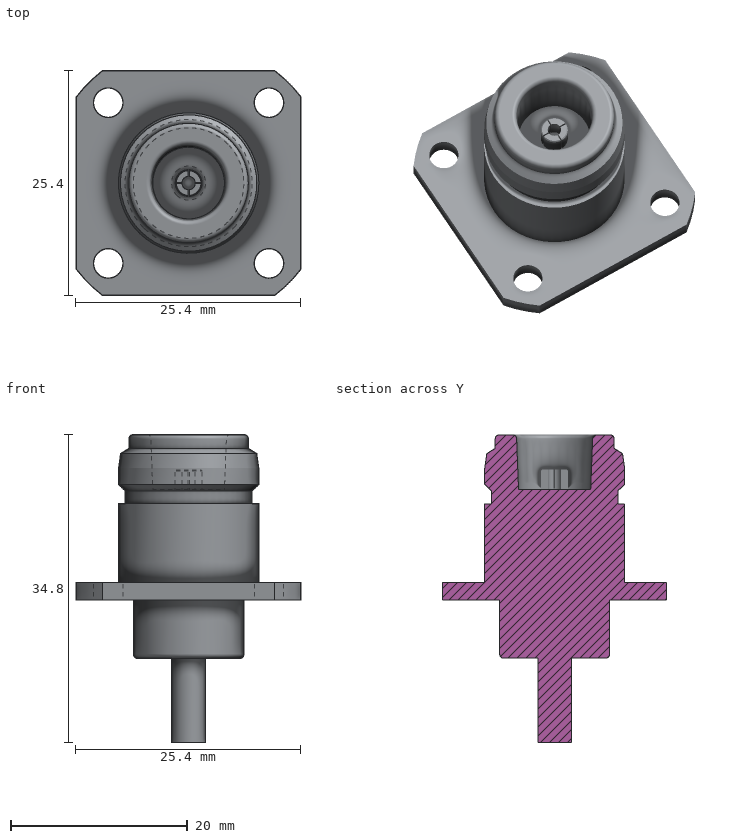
import cadquery as cq

flange_side = 25.4
flange_thickness = 2.0
flange_corner_radius = 16.0
mount_hole_pitch = 18.16
mount_hole_diameter = 3.3

pin_radius = 1.92
pin_bottom_z = -16.1
rear_radius = 6.25
rear_bottom_z = -6.6
barrel_radius = 7.9375
barrel_top_z = 10.9
neck_radius = 7.18
neck_top_z = 12.35
collar_bottom_z = 13.07
collar_taper_z = 14.87
collar_top_z = 16.55
collar_top_radius = 7.7
rim_radius = 6.75
rim_bottom_z = 17.15
top_z = 18.7
edge_fillet = 0.5

socket_depth = 6.2
socket_mouth_radius = 4.27
socket_floor_radius = 4.05
socket_floor_z = top_z - socket_depth

contact_radius = 1.52
contact_top_z = 14.7
contact_chamfer = 0.12
contact_bore_radius = 0.75
contact_height = contact_top_z - socket_floor_z
contact_slot_width = 0.15


def make_flange():
    """Square plate with arc corners and four mounting holes."""
    square = cq.Workplane("XY").rect(flange_side, flange_side).extrude(flange_thickness)
    disc = cq.Workplane("XY").circle(flange_corner_radius).extrude(flange_thickness)
    holes = (
        cq.Workplane("XY")
        .rect(mount_hole_pitch, mount_hole_pitch, forConstruction=True)
        .vertices()
        .circle(mount_hole_diameter / 2)
        .extrude(flange_thickness)
    )
    return square.intersect(disc).cut(holes)


def make_front_body():
    """Solid of revolution from the flange underside up to the rim."""
    half_outline = [
        (0, 0),
        (barrel_radius, 0),
        (barrel_radius, barrel_top_z),
        (neck_radius, barrel_top_z),
        (neck_radius, neck_top_z),
        (barrel_radius, collar_bottom_z),
        (barrel_radius, collar_taper_z),
        (collar_top_radius, collar_top_z),
        (rim_radius, rim_bottom_z),
        (rim_radius, top_z),
        (0, top_z),
    ]
    body = cq.Workplane("XZ").polyline(half_outline).close().revolve(360, (0, 0), (0, 1))
    return body.faces(">Z").edges().fillet(edge_fillet)


def make_rear_body():
    """Round-edged cylinder behind the flange with the solder pin below it."""
    rear = cq.Workplane("XY").circle(rear_radius).extrude(rear_bottom_z)
    rear = rear.faces("<Z").edges().fillet(edge_fillet)
    return rear.union(cq.Workplane("XY").circle(pin_radius).extrude(pin_bottom_z))


def make_socket():
    """Tapered cavity with a rounded mouth, opening at the rim."""
    taper_top_z = top_z - edge_fillet
    mouth_arc_offset = edge_fillet * (1 - 0.5**0.5)
    return (
        cq.Workplane("XZ")
        .moveTo(0, socket_floor_z)
        .lineTo(socket_floor_radius, socket_floor_z)
        .lineTo(socket_mouth_radius, taper_top_z)
        .threePointArc(
            (socket_mouth_radius + mouth_arc_offset, top_z - mouth_arc_offset),
            (socket_mouth_radius + edge_fillet, top_z),
        )
        .lineTo(0, top_z)
        .close()
        .revolve(360, (0, 0), (0, 1))
    )


def make_contact():
    """Chamfered contact with a bore and crossed slots, open down to the socket floor."""
    floor = cq.Workplane("XY", origin=(0, 0, socket_floor_z))
    contact = floor.circle(contact_radius).extrude(contact_height)
    contact = contact.faces(">Z").chamfer(contact_chamfer)
    contact = contact.cut(floor.circle(contact_bore_radius).extrude(contact_height))
    slot_length = 2 * contact_radius
    slot = floor.rect(slot_length, contact_slot_width).extrude(contact_height)
    for angle in (0, 90):
        contact = contact.cut(slot.rotate((0, 0, 0), (0, 0, 1), angle))
    return contact


body = make_flange().union(make_front_body()).union(make_rear_body())
result = body.cut(make_socket()).union(make_contact())